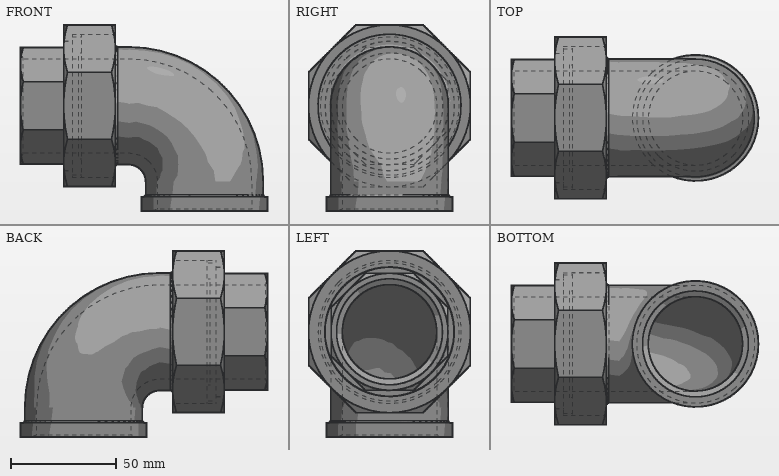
import cadquery as cq
import math


bore_d = 44.9
pipe_d = 56.0
lip_d = 60.0
lip_height = 6.7
root_fillet = 1.0
outlet_x = 117.5 - lip_d / 2
outlet_z = -50.0
bend_radius = 36.1
mouth_d = 50.4
mouth_depth = 1.2

nut_flats = 77.0
nut_front_x = 20.6
nut_length = 24.5
nut_lip_length = 4.0
nut_hole_d = 61.7
nut_bore_d = 68.0

tail_flats = 55.6
collar_d = 61.3
tail_flange_d = 65.8
seat_x = 29.0
recess_d = 50.6
recess_depth = 1.6

OCTAGON_SIDES = 8
CORNER_CHAMFER_ANGLE = 30

nut_back_x = nut_front_x + nut_length
nut_shoulder_x = nut_front_x + nut_lip_length
bend_start_x = outlet_x - bend_radius


def rod_x(diameter, start, end):
    """Cylinder along the X axis between two X positions."""
    return cq.Workplane("YZ").workplane(offset=start).circle(diameter / 2).extrude(end - start)


def octagon_x(flats, start, end, chamfer_back):
    """Octagonal bar along X with conically chamfered corners at the front, and optionally the back."""
    corner_radius = flats / 2 / math.cos(math.pi / OCTAGON_SIDES)
    bar = (
        cq.Workplane("YZ").workplane(offset=start)
        .transformed(rotate=(0, 0, 180 / OCTAGON_SIDES))
        .polygon(OCTAGON_SIDES, 2 * corner_radius)
        .extrude(end - start)
    )
    face_radius = flats / 2
    chamfer_depth = (corner_radius - face_radius) * math.tan(math.radians(CORNER_CHAMFER_ANGLE))
    profile = (
        cq.Workplane("XY").moveTo(start, 0)
        .lineTo(start, face_radius)
        .lineTo(start + chamfer_depth, corner_radius)
    )
    if chamfer_back:
        profile = profile.lineTo(end - chamfer_depth, corner_radius).lineTo(end, face_radius)
    else:
        profile = profile.lineTo(end, corner_radius)
    envelope = profile.lineTo(end, 0).close().revolve(360, (0, 0, 0), (1, 0, 0))
    return bar.intersect(envelope)


def mouth_cone(point, direction):
    """Tapered cutter that opens a bore from bore_d to mouth_d at a pipe end."""
    return cq.Workplane(cq.Solid.makeCone(
        mouth_d / 2, bore_d / 2, mouth_depth, cq.Vector(*point), cq.Vector(*direction)
    ))


def bent_rod(diameter, start):
    """Round rod along X from start, through the bend and down to the outlet face."""
    path = (
        cq.Workplane("XZ").moveTo(start, 0)
        .lineTo(bend_start_x, 0)
        .tangentArcPoint((outlet_x, -bend_radius), relative=False)
        .lineTo(outlet_x, outlet_z)
    )
    return cq.Workplane("YZ").workplane(offset=start).circle(diameter / 2).sweep(path)


def flared_flange(flange_d, length):
    """Flange along +Z from the origin, with a concave fillet on top running into the pipe."""
    pipe_r = pipe_d / 2
    top = length + root_fillet
    arc_offset = root_fillet * (1 - math.sqrt(0.5))
    return (
        cq.Workplane("XZ").lineTo(flange_d / 2, 0)
        .lineTo(flange_d / 2, length)
        .lineTo(pipe_r + root_fillet, length)
        .threePointArc((pipe_r + arc_offset, length + arc_offset), (pipe_r, top))
        .lineTo(0, top).close()
        .revolve(360, (0, 0, 0), (0, 1, 0))
    )


def make_elbow():
    inlet_flange = (
        flared_flange(nut_bore_d, nut_back_x - seat_x)
        .rotate((0, 0, 0), (0, 1, 0), 90)
        .translate((seat_x, 0, 0))
    )
    outlet_lip = flared_flange(lip_d, lip_height).translate((outlet_x, 0, outlet_z))
    body = bent_rod(pipe_d, seat_x).union(inlet_flange).union(outlet_lip)
    body = body.cut(bent_rod(bore_d, seat_x))
    return body.cut(mouth_cone((outlet_x, 0, outlet_z), (0, 0, 1)))


def make_nut():
    body = octagon_x(nut_flats, nut_front_x, nut_back_x, chamfer_back=True)
    body = body.cut(rod_x(nut_hole_d, nut_front_x, nut_shoulder_x))
    return body.cut(rod_x(nut_bore_d, nut_shoulder_x, nut_back_x))


def make_tailpiece():
    body = octagon_x(tail_flats, 0, nut_front_x, chamfer_back=False)
    body = body.union(rod_x(collar_d, nut_front_x, nut_shoulder_x))
    body = body.union(rod_x(tail_flange_d, nut_shoulder_x, seat_x))
    body = body.cut(rod_x(bore_d, 0, seat_x))
    body = body.cut(mouth_cone((0, 0, 0), (1, 0, 0)))
    return body.cut(rod_x(recess_d, seat_x - recess_depth, seat_x))


elbow = make_elbow()
nut = make_nut()
tailpiece = make_tailpiece()

result = cq.Compound.makeCompound([elbow.solids().val(), nut.solids().val(), tailpiece.solids().val()])